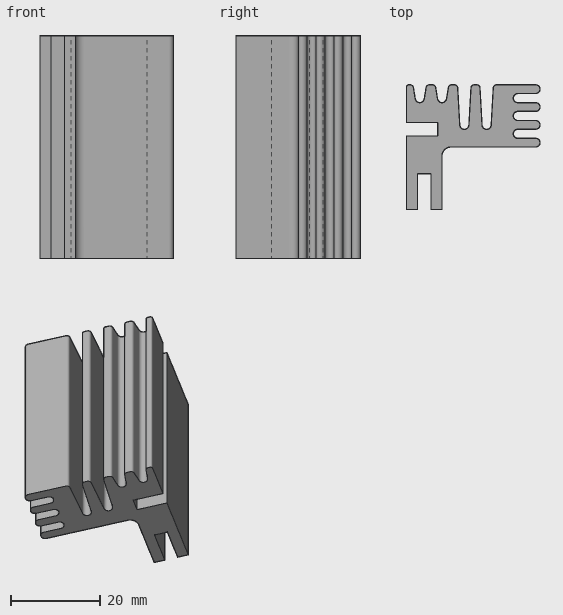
import cadquery as cq
import math

width = 30.0
depth = 28.0
length = 50.0

leg_width = 8.0
arm_thickness = 14.0
inner_corner_radius = 2.0
outer_corner_radius = 0.5

slot_width = 3.0
side_slot_depth = 7.0
side_slot_offset = 8.5
end_slot_depth = 8.0

fin_count = 4
fin_thickness = arm_thickness / (2 * fin_count - 1)
fin_pitch = 2 * fin_thickness
fin_radius = fin_thickness / 2
fin_gap_depth = 6.0

groove_pitch = 5.0
first_groove_x = 3.0
groove_depths = [4.0, 4.0, 10.0, 10.0]
groove_mouth = 3.0
groove_root_radius = 1.0
groove_lip_radius = 0.75


def block(x, y, size_x, size_y):
    """Full-length box with its minimum corner at (x, y)."""
    return cq.Workplane("XY").box(size_x, size_y, length, centered=False).translate((x, y, 0))


def round_upright_edges(body, points, radius):
    """Fillet the upright edges that pass through the given XY points."""
    for x, y in points:
        edge = cq.selectors.NearestToPointSelector((x, y, length / 2))
        body = body.edges("|Z").edges(edge).fillet(radius)
    return body


def tapered_groove(x, groove_depth):
    """Groove whose sloping walls run tangent into a round root."""
    half_mouth = groove_mouth / 2
    root_drop = groove_depth - groove_root_radius
    mouth_distance = math.hypot(half_mouth, root_drop)
    tangent_angle = math.atan2(root_drop, half_mouth) - math.acos(groove_root_radius / mouth_distance)
    tangent_x = groove_root_radius * math.cos(tangent_angle)
    tangent_y = depth - root_drop + groove_root_radius * math.sin(tangent_angle)
    return (
        cq.Workplane("XY")
        .moveTo(x - half_mouth, depth)
        .lineTo(x - tangent_x, tangent_y)
        .threePointArc((x, depth - groove_depth), (x + tangent_x, tangent_y))
        .lineTo(x + half_mouth, depth)
        .close()
        .extrude(length)
    )


arm_bottom = depth - arm_thickness
body = block(0, arm_bottom, width, arm_thickness)
body = body.union(block(0, 0, leg_width, depth))
body = round_upright_edges(body, [(leg_width, arm_bottom)], inner_corner_radius)

body = body.cut(block(0, depth - side_slot_offset - slot_width, side_slot_depth, slot_width))
body = body.cut(block((leg_width - slot_width) / 2, 0, slot_width, end_slot_depth))

gap_root_x = width - fin_gap_depth + fin_radius
for index in range(fin_count - 1):
    gap_y = arm_bottom + fin_thickness + index * fin_pitch
    root = cq.Workplane("XY").center(gap_root_x, gap_y + fin_radius).circle(fin_radius).extrude(length)
    body = body.cut(block(gap_root_x, gap_y, width - gap_root_x, fin_thickness).union(root))

tip_x = width - fin_radius
for index in range(fin_count):
    fin_y = arm_bottom + index * fin_pitch
    tip = cq.Workplane("XY").center(tip_x, fin_y + fin_radius).circle(fin_radius).extrude(length)
    body = body.cut(block(tip_x, fin_y, fin_radius, fin_thickness).cut(tip))

lips = []
for index, groove_depth in enumerate(groove_depths):
    groove_x = first_groove_x + index * groove_pitch
    body = body.cut(tapered_groove(groove_x, groove_depth))
    lips += [(groove_x - groove_mouth / 2, depth), (groove_x + groove_mouth / 2, depth)]
body = round_upright_edges(body, lips, groove_lip_radius)
body = round_upright_edges(body, [(0, depth)], outer_corner_radius)

result = body